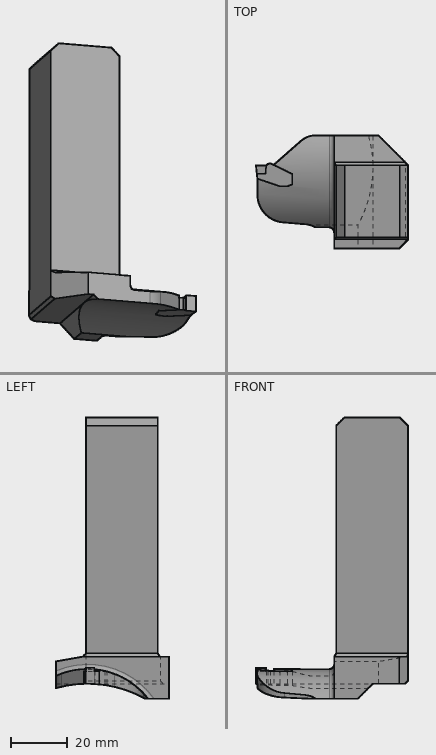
import cadquery as cq
import math


total_length = 53.6
total_width = 39.9
total_height = 99

shank_size = 25.3
shank_y = 4.0
shank_end_chamfer = 3.0
shank_x = total_length - shank_size

head_x = 27.5
head_height = 14.8
rear_underside_z = 5.2
relief_start_x = 35.8
rear_bottom_chamfer = 1.1
near_corner_chamfer = 3.2
far_corner_chamfer = 10.5
slope_start_y = 30.4
slope_angle = 10
neck_flare = shank_x - head_x
far_neck_flare = 1.1
neck_overlap = 0.2

arch_y = 28.7
blade_top_z = 10.5
blade_top_radius = 26.7
blade_bottom_z = 5.2
blade_bottom_radius = 41.6
root_fillet = 1.7
blade_front_x = 0.5
blade_root_x = head_x + 1
top_axis_z = blade_top_z - blade_top_radius
bottom_axis_z = blade_bottom_z - blade_bottom_radius

tip_top_z = 10.9
pad_top_z = 9.7
tip_length = 3.7
insert_y = 29.3
tip_near_y = 26.3
insert_near_y = 24.6
pad_end_x = 12.9


def x_cylinder(radius, axis_z, start_x, end_x):
    """Cylinder along X below the crest of the arch."""
    plane = cq.Workplane("YZ", origin=(start_x, arch_y, axis_z))
    return plane.circle(radius).extrude(end_x - start_x)


def make_shank():
    shank = cq.Workplane("XY").box(shank_size, shank_size, total_height - head_height, centered=False)
    shank = shank.translate((shank_x, shank_y, head_height))
    return shank.faces(">Z").edges("|Y").chamfer(shank_end_chamfer)


def make_neck():
    """Sloping flare between the shank and the top of the head."""
    far_y = shank_y + shank_size
    outer_width = shank_size + neck_flare + far_neck_flare
    base_z = head_height - neck_overlap
    base = cq.Workplane("XY").box(shank_size + neck_flare, outer_width, neck_overlap, centered=False)
    base = base.translate((head_x, shank_y - neck_flare, base_z))
    bottom = [
        (head_x, shank_y - neck_flare),
        (total_length, shank_y - neck_flare),
        (total_length, far_y + far_neck_flare),
        (head_x, far_y + far_neck_flare),
    ]
    top = [(shank_x, shank_y), (total_length, shank_y), (total_length, far_y), (shank_x, far_y)]
    flare = (
        cq.Workplane("XY", origin=(0, 0, head_height))
        .polyline(bottom).close()
        .workplane(offset=far_neck_flare)
        .polyline(top).close()
        .loft(ruled=True)
    )
    return base.union(flare)


def make_head():
    """Stepped side profile trimmed to the plan and to the sloping far end."""
    relief_end_x = relief_start_x + rear_underside_z
    profile = [
        (head_x, 0),
        (relief_start_x, 0),
        (relief_end_x, rear_underside_z),
        (total_length - rear_bottom_chamfer, rear_underside_z),
        (total_length, rear_underside_z + rear_bottom_chamfer),
        (total_length, head_height),
        (head_x, head_height),
    ]
    head = cq.Workplane("XZ").polyline(profile).close().extrude(-total_width)
    head = head.union(make_neck())
    plan = [
        (head_x, 0),
        (total_length - near_corner_chamfer, 0),
        (total_length, near_corner_chamfer),
        (total_length, total_width - far_corner_chamfer),
        (total_length - far_corner_chamfer, total_width),
        (head_x, total_width),
    ]
    head = head.intersect(cq.Workplane("XY").polyline(plan).close().extrude(total_height))
    slope_drop = (total_width - slope_start_y) * math.tan(math.radians(slope_angle))
    slope = [
        (slope_start_y, head_height),
        (total_width, head_height - slope_drop),
        (total_width, total_height),
        (slope_start_y, total_height),
    ]
    return head.cut(cq.Workplane("YZ").polyline(slope).close().extrude(total_length))


def make_blade():
    """Arched plate with a rounded plan and a fillet at its root."""
    fillet_start_x = head_x - root_fillet
    fillet_mid_x = fillet_start_x + root_fillet * math.sin(math.pi / 4)
    fillet_mid_radius = blade_top_radius + root_fillet * (1 - math.cos(math.pi / 4))
    flared_bar = (
        cq.Workplane("XZ", origin=(0, arch_y, top_axis_z))
        .lineTo(0, blade_top_radius)
        .lineTo(fillet_start_x, blade_top_radius)
        .threePointArc((fillet_mid_x, fillet_mid_radius), (head_x, blade_top_radius + root_fillet))
        .lineTo(blade_root_x, blade_top_radius + root_fillet)
        .lineTo(blade_root_x, 0)
        .close()
        .revolve(360, (0, 0, 0), (1, 0, 0))
    )
    plan = (
        cq.Workplane("XY")
        .moveTo(blade_root_x, total_width)
        .lineTo(20.5, total_width)
        .threePointArc((18.0, 39.3), (15.8, 37.9))
        .lineTo(6.2, 29.5)
        .lineTo(blade_front_x, tip_near_y)
        .lineTo(blade_front_x, 19.4)
        .threePointArc((3.1, 12.5), (9.9, 9.2))
        .lineTo(18.0, 8.5)
        .threePointArc((20.1, 7.9), (22.3, 6.7))
        .lineTo(23.3, 4.95)
        .lineTo(blade_root_x, 4.95)
        .close()
        .extrude(total_height)
    )
    return flared_bar.intersect(plan)


def insert_plan():
    """Insert outline: square-ended tip and a slanted body behind it."""
    outline = [
        (0, insert_y),
        (tip_length, insert_y),
        (4.2, 29.8),
        (5.0, 30.1),
        (pad_end_x, 26.2),
        (pad_end_x, 22.7),
        (11.1, 22.0),
        (8.4, 22.0),
        (blade_front_x, insert_near_y),
        (0.3, tip_near_y),
    ]
    return cq.Workplane("XY").polyline(outline).close().extrude(tip_top_z)


def make_insert():
    """Insert with a raised tip and a lower flat top behind it."""
    tip = [(0, insert_y), (tip_length, insert_y), (3.4, tip_near_y), (0.3, tip_near_y)]
    raised_tip = cq.Workplane("XY").polyline(tip).close().extrude(tip_top_z)
    below_pad = cq.Workplane("XY").box(total_length, total_width, pad_top_z, centered=False)
    insert = insert_plan().intersect(below_pad).union(raised_tip)
    return insert.cut(underside)


underside = x_cylinder(blade_bottom_radius, bottom_axis_z, 0, total_length)

holder = make_shank().union(make_head()).union(make_blade())
holder = holder.cut(underside).cut(insert_plan())
insert = make_insert()

result = cq.Compound.makeCompound([holder.val(), insert.val()])